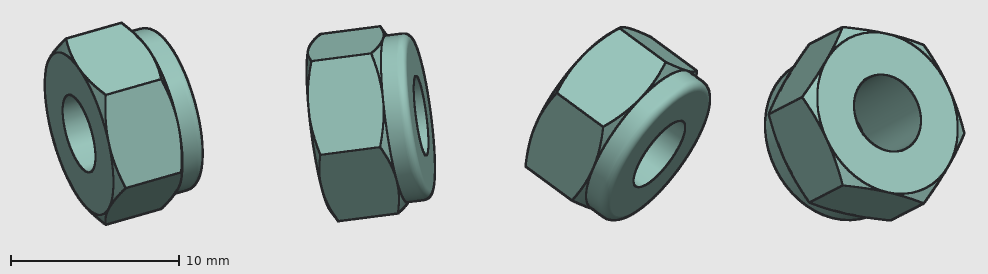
import cadquery as cq
import math

across_corners = 11.55
across_flats = across_corners * math.cos(math.radians(30))
total_length = 6.0
hex_length = 4.5
bore_diameter = 4.77
collar_rounding = 0.5
chamfer_angle = 30.0

corner_radius = across_corners / 2
flat_radius = across_flats / 2
chamfer_depth = (corner_radius - flat_radius) * math.tan(math.radians(chamfer_angle))


def along_y(offset=0.0):
    """Sketch plane facing +Y, with its local x axis along global X."""
    return cq.Workplane(cq.Plane(origin=(0, offset, 0), xDir=(1, 0, 0), normal=(0, 1, 0)))


def chamfer_envelope():
    """Turned blank whose conical ends touch the flats and cut back the corners."""
    return (
        cq.Workplane("XY")
        .moveTo(0, 0)
        .lineTo(flat_radius, 0)
        .lineTo(corner_radius, chamfer_depth)
        .lineTo(corner_radius, hex_length - chamfer_depth)
        .lineTo(flat_radius, hex_length)
        .lineTo(0, hex_length)
        .close()
        .revolve(360, (0, 0, 0), (0, 1, 0))
    )


def hex_body():
    """Hexagonal prism with both ends chamfered."""
    prism = along_y().polygon(6, across_corners).extrude(hex_length)
    return prism.intersect(chamfer_envelope())


def collar():
    """Round collar for the locking insert, with a rounded outer rim."""
    return (
        along_y(hex_length)
        .circle(flat_radius)
        .extrude(total_length - hex_length)
        .faces(">Y")
        .edges()
        .fillet(collar_rounding)
    )


bore = along_y().circle(bore_diameter / 2).extrude(total_length)

result = hex_body().union(collar()).cut(bore)